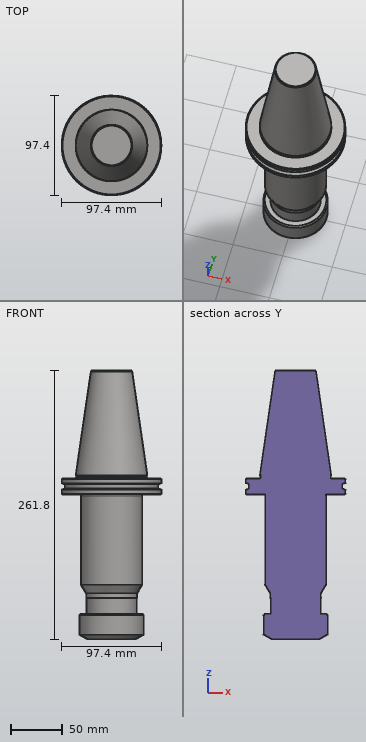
import cadquery as cq
import math

total_height = 261.8

nut_radius = 31.5
nut_top = 25.0
nut_top_chamfer = 1.5
nose_cone_height = 4.7
nose_cone_angle = 30.0
nose_radius = nut_radius - nose_cone_height / math.tan(math.radians(nose_cone_angle))

neck_radius = 24.5
shoulder_radius = 24.9
shoulder_bottom = 40.0
shoulder_step_height = 0.5
neck_top = 44.8

body_radius = 60.0 / 2
body_bottom = 53.5
body_top = 139.5
body_top_inset = 0.3

flange_radius = 48.7
flange_bottom = 140.8
flange_top = 156.8
flange_chamfer = 1.0
groove_center = 149.0
groove_floor_radius = 91.4 / 2
groove_floor_width = 4.0
groove_mouth_width = 6.5

gauge_height = 160.0
gauge_radius = 70.0 / 2
taper_slope = 7 / 24 / 2
relief_radius = 34.3
relief_cone_height = 0.8
relief_foot = 0.8
tip_chamfer = 1.0
tip_edge_height = total_height - tip_chamfer
tip_edge_radius = gauge_radius - taper_slope * (tip_edge_height - gauge_height)

nut_profile = [
    (0, 0),
    (nose_radius, 0),
    (nut_radius, nose_cone_height),
    (nut_radius, nut_top - nut_top_chamfer),
    (nut_radius - nut_top_chamfer, nut_top),
]

neck_and_body_profile = [
    (neck_radius, nut_top),
    (neck_radius, shoulder_bottom),
    (shoulder_radius, shoulder_bottom + shoulder_step_height),
    (shoulder_radius, neck_top),
    (body_radius, body_bottom),
    (body_radius, body_top),
    (body_radius - body_top_inset, flange_bottom),
]

flange_profile = [
    (flange_radius - flange_chamfer, flange_bottom),
    (flange_radius, flange_bottom + flange_chamfer),
    (flange_radius, groove_center - groove_mouth_width / 2),
    (groove_floor_radius, groove_center - groove_floor_width / 2),
    (groove_floor_radius, groove_center + groove_floor_width / 2),
    (flange_radius, groove_center + groove_mouth_width / 2),
    (flange_radius, flange_top - flange_chamfer),
    (flange_radius - flange_chamfer, flange_top),
]

taper_profile = [
    (relief_radius + relief_foot, flange_top),
    (relief_radius, flange_top + relief_foot),
    (relief_radius, gauge_height - relief_cone_height),
    (gauge_radius, gauge_height),
    (tip_edge_radius, tip_edge_height),
    (tip_edge_radius - tip_chamfer, total_height),
    (0, total_height),
]

half_profile = nut_profile + neck_and_body_profile + flange_profile + taper_profile
result = cq.Workplane("XZ").polyline(half_profile).close().revolve(360, (0, 0, 0), (0, 1, 0))